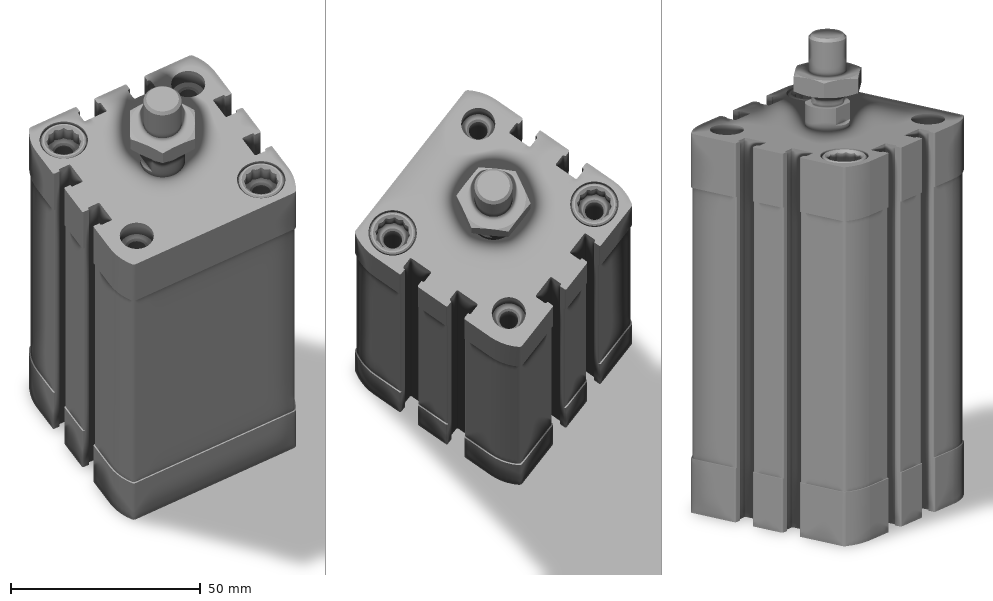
import cadquery as cq
import math

cap_width = 54.5
cap_length = 15.0
tube_inset = 0.4
housing_length = 105.0
side_arc_radius = 14.7
side_arc_offset = 19.0
edge_round = 1.0

slot_pitch = 15.2
slot_mouth_width = 5.5
slot_mouth_round = 0.4
slot_mouth_depth = 2.0
slot_width = 6.9
slot_depth = 5.5
slot_round = 0.4

hole_offset = 19.0
hole_diameter = 5.0
hole_chamfer = 0.5
recess_depth = 4.7
plain_recess_diameter = 9.0

screw_recess_diameter = 12.7
screw_groove_depth = 1.3
head_diameter = 11.8
head_chamfer = 0.4
socket_mouth_diameter = 10.3
socket_root_diameter = 9.2
socket_tip_diameter = 8.6
socket_cone_length = 0.8
socket_teeth = 12
socket_tooth_land = math.radians(9)

overall_height = 130.1
rod_diameter = 12.0
rod_insertion = cap_length
shoulder_height = 6.2
neck_diameter = 8.5
neck_length = 1.7
neck_base_diameter = 8.6
neck_base_length = 0.8
neck_cone_length = 2.1
thread_diameter = 10.0
tip_diameter = 8.6
tip_chamfer_length = 0.8
flats_width = 10.0
flats_length = 4.7
flats_runout = 0.4

nut_sides = 6
nut_width = 17.0
nut_thickness = 5.0
nut_top = 120.0
nut_chamfer_angle = 20

cap_half = cap_width / 2
shoulder_top = housing_length + shoulder_height


def outer_block(half, bottom, length):
    """Square prism whose Y faces curve in towards the corners."""
    arc_center_x = side_arc_offset
    arc_center_y = cap_half - side_arc_radius
    radius = half - arc_center_y
    corner_angle = math.acos((half - arc_center_x) / radius)
    corner_y = arc_center_y + radius * math.sin(corner_angle)
    middle_angle = (corner_angle + math.pi / 2) / 2
    middle_x = arc_center_x + radius * math.cos(middle_angle)
    middle_y = arc_center_y + radius * math.sin(middle_angle)
    return (
        cq.Workplane("XY", origin=(0, 0, bottom))
        .moveTo(-arc_center_x, half)
        .lineTo(arc_center_x, half)
        .threePointArc((middle_x, middle_y), (half, corner_y))
        .lineTo(half, -corner_y)
        .threePointArc((middle_x, -middle_y), (arc_center_x, -half))
        .lineTo(-arc_center_x, -half)
        .threePointArc((-middle_x, -middle_y), (-half, -corner_y))
        .lineTo(-half, corner_y)
        .threePointArc((-middle_x, middle_y), (-arc_center_x, half))
        .close()
        .extrude(length)
        .edges("|Z and (<X or >X)")
        .fillet(edge_round)
    )


def t_slot(half, bottom, length):
    """T-slot cutter with a rounded mouth, opening to +Y at y = half."""
    mouth_half = slot_mouth_width / 2
    flare_half = mouth_half + slot_mouth_round
    floor = cap_half - slot_depth
    mouth = (
        cq.Workplane("XY", origin=(0, 0, bottom))
        .moveTo(-mouth_half, floor)
        .lineTo(mouth_half, floor)
        .lineTo(mouth_half, half - slot_mouth_round)
        .radiusArc((flare_half, half), slot_mouth_round)
        .lineTo(-flare_half, half)
        .radiusArc((-mouth_half, half - slot_mouth_round), slot_mouth_round)
        .close()
        .extrude(length)
    )
    pocket = (
        cq.Workplane("XY", origin=(0, floor, bottom))
        .box(slot_width, slot_depth - slot_mouth_depth, length, centered=(True, False, False))
        .edges("|Z")
        .fillet(slot_round)
    )
    return mouth.union(pocket)


def housing_block(inset, bottom, length):
    """Length of housing with two T-slots on each of the +Y, -X and -Y sides."""
    half = cap_half - inset
    block = outer_block(half, bottom, length)
    for side_angle in (0, 90, 180):
        for offset in (-slot_pitch / 2, slot_pitch / 2):
            slot = t_slot(half, bottom, length).translate((offset, 0, 0))
            block = block.cut(slot.rotate((0, 0, 0), (0, 0, 1), side_angle))
    return block


def corner_hole():
    """Through hole with a countersunk top edge at the recess floor."""
    floor = housing_length - recess_depth
    radius = hole_diameter / 2
    return (
        cq.Workplane("XZ")
        .polyline([
            (0, 0),
            (radius, 0),
            (radius, floor - hole_chamfer),
            (radius + hole_chamfer, floor),
            (0, floor),
        ])
        .close()
        .revolve(360, (0, 0), (0, 1))
    )


def plain_recess():
    """Flat-bottomed counterbore of the two corners without screws."""
    floor = housing_length - recess_depth
    return cq.Workplane("XY", origin=(0, 0, floor)).circle(plain_recess_diameter / 2).extrude(recess_depth)


def screw_groove():
    """Ring groove that leaves a round, chamfered screw head standing inside it."""
    head_radius = head_diameter / 2
    recess_radius = screw_recess_diameter / 2
    groove_floor = housing_length - screw_groove_depth
    return (
        cq.Workplane("XZ")
        .polyline([
            (head_radius - head_chamfer, housing_length),
            (head_radius, housing_length - head_chamfer),
            (head_radius, groove_floor),
            (recess_radius, groove_floor),
            (recess_radius, housing_length),
        ])
        .close()
        .revolve(360, (0, 0), (0, 1))
    )


def socket_cone():
    """Conical lead-in at the mouth of the screw socket."""
    cone_bottom = housing_length - socket_cone_length
    return (
        cq.Workplane("XZ")
        .polyline([
            (0, cone_bottom),
            (socket_tip_diameter / 2, cone_bottom),
            (socket_mouth_diameter / 2, housing_length),
            (0, housing_length),
        ])
        .close()
        .revolve(360, (0, 0), (0, 1))
    )


def toothed_socket():
    """Socket with pointed grooves between flat-topped teeth."""
    root_radius = socket_root_diameter / 2
    tip_radius = socket_tip_diameter / 2
    pitch_angle = 2 * math.pi / socket_teeth
    points = []
    for index in range(socket_teeth):
        groove_angle = index * pitch_angle
        tooth_start = groove_angle + (pitch_angle - socket_tooth_land) / 2
        tooth_end = tooth_start + socket_tooth_land
        points.append((root_radius * math.cos(groove_angle), root_radius * math.sin(groove_angle)))
        points.append((tip_radius * math.cos(tooth_start), tip_radius * math.sin(tooth_start)))
        points.append((tip_radius * math.cos(tooth_end), tip_radius * math.sin(tooth_end)))
    floor = housing_length - recess_depth
    return cq.Workplane("XY", origin=(0, 0, floor)).polyline(points).close().extrude(recess_depth)


def screw_recess():
    """Everything cut away around and inside one screw head."""
    return screw_groove().union(toothed_socket()).union(socket_cone())


def make_housing():
    """Caps, tube and screw heads as one body, bored for the rod."""
    tube_length = housing_length - 2 * cap_length
    body = (
        housing_block(0, 0, cap_length)
        .union(housing_block(tube_inset, cap_length, tube_length))
        .union(housing_block(0, housing_length - cap_length, cap_length))
    )
    for side_x in (-1, 1):
        for side_y in (-1, 1):
            place = (side_x * hole_offset, side_y * hole_offset, 0)
            recess = screw_recess() if side_x == side_y else plain_recess()
            body = body.cut(corner_hole().translate(place)).cut(recess.translate(place))
    rod_bore = (
        cq.Workplane("XY", origin=(0, 0, housing_length - rod_insertion))
        .circle(rod_diameter / 2)
        .extrude(rod_insertion)
    )
    return body.cut(rod_bore)


def make_rod():
    """Turned rod with a necked, threaded end and two wrench flats facing +Y and -Y."""
    rod_radius = rod_diameter / 2
    neck_radius = neck_diameter / 2
    thread_radius = thread_diameter / 2
    rod_bottom = housing_length - rod_insertion
    cone_bottom = shoulder_top + neck_length
    rod = (
        cq.Workplane("XZ")
        .moveTo(0, rod_bottom)
        .lineTo(rod_radius, rod_bottom)
        .lineTo(rod_radius, shoulder_top)
        .lineTo(neck_base_diameter / 2, shoulder_top)
        .lineTo(neck_radius, shoulder_top + neck_base_length)
        .lineTo(neck_radius, cone_bottom)
        .lineTo(thread_radius, cone_bottom + neck_cone_length)
        .lineTo(thread_radius, overall_height - tip_chamfer_length)
        .lineTo(tip_diameter / 2, overall_height)
        .lineTo(0, overall_height)
        .close()
        .revolve(360, (0, 0), (0, 1))
    )
    flat_bottom = shoulder_top - flats_length
    flat_cut = (
        cq.Workplane("YZ")
        .polyline([
            (flats_width / 2, shoulder_top),
            (flats_width / 2, flat_bottom),
            (rod_radius, flat_bottom - flats_runout),
            (rod_radius, shoulder_top),
        ])
        .close()
        .extrude(rod_radius, both=True)
    )
    return rod.cut(flat_cut).cut(flat_cut.mirror("XZ"))


def make_nut():
    """Hexagon lock nut, chamfered at both faces, with corners on the Y axis."""
    corner_diameter = nut_width / math.cos(math.pi / nut_sides)
    chamfer_radial = (corner_diameter - nut_width) / 2
    chamfer_drop = chamfer_radial * math.tan(math.radians(nut_chamfer_angle))
    nut_bottom = nut_top - nut_thickness
    hexagon = (
        cq.Workplane("XY", origin=(0, 0, nut_bottom))
        .polygon(nut_sides, corner_diameter)
        .circle(thread_diameter / 2)
        .extrude(nut_thickness)
        .rotate((0, 0, 0), (0, 0, 1), 180 / nut_sides)
    )
    envelope = (
        cq.Workplane("XZ")
        .polyline([
            (0, nut_bottom),
            (nut_width / 2, nut_bottom),
            (corner_diameter / 2, nut_bottom + chamfer_drop),
            (corner_diameter / 2, nut_top - chamfer_drop),
            (nut_width / 2, nut_top),
            (0, nut_top),
        ])
        .close()
        .revolve(360, (0, 0), (0, 1))
    )
    return hexagon.intersect(envelope)


housing = make_housing()
rod = make_rod()
nut = make_nut()
result = cq.Compound.makeCompound([housing.val(), rod.val(), nut.val()])